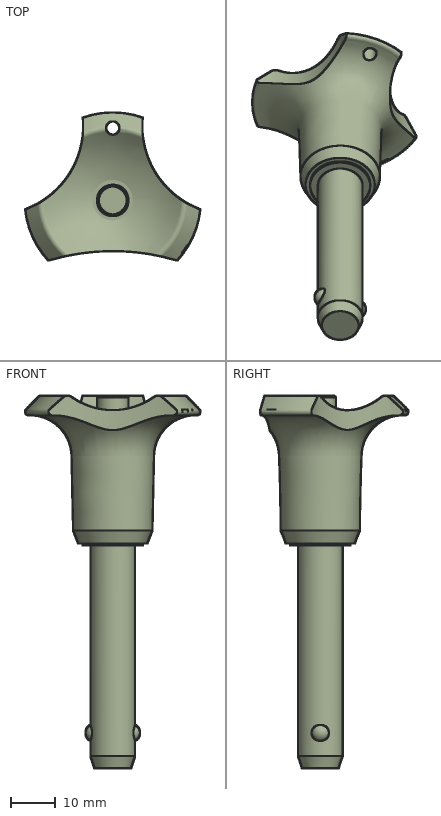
import math

import cadquery as cq

handle_height = 32.9
shank_length = 50.0
shank_radius = 5.0

tip_length = 2.75
tip_radius = 4.1

ball_radius = 2.0
ball_reach = 6.1
ball_height = 7.9

grip_top_radius = 9.2
grip_top_z = 19.4
grip_bottom_radius = 8.85
grip_bottom_z = 2.9
grip_end_radius = 7.7

lip_radius = 6.7
lip_height = 0.45

cone_normal = 45
head_radius = 19.6
edge_round = 0.8
rim_round = 1.0
rim_radius = 15.9
dish_radius = 22.0
floor_radius = 4.5

button_radius = 3.5
button_chamfer = 0.4

side_cut_radius = 19.7
side_cut_x = 26.3
side_cut_y = 16.5
front_cut_radius = 50.0
front_cut_depth_y = -11.3

lanyard_hole_radius = 1.45
lanyard_hole_y = 16.1


def on_circle(center, radius, angle_deg):
    """Point at the given angle on a circle in the (radius, Z) plane."""
    angle = math.radians(angle_deg)
    return (center[0] + radius * math.cos(angle), center[1] + radius * math.sin(angle))


rim_center = (rim_radius, handle_height - rim_round)
dish_center_z = rim_center[1] + math.sqrt((dish_radius + rim_round) ** 2 - rim_radius ** 2)
floor_z = dish_center_z - math.sqrt(dish_radius ** 2 - floor_radius ** 2)


def make_handle():
    edge_center_r = head_radius - edge_round
    cone_offset = (rim_round - edge_round) / math.cos(math.radians(cone_normal))
    edge_center = (edge_center_r, rim_center[1] + rim_radius - edge_center_r + cone_offset)
    edge_lower_mid = on_circle(edge_center, edge_round, -45)
    edge_upper_mid = on_circle(edge_center, edge_round, cone_normal / 2)
    edge_on_cone = on_circle(edge_center, edge_round, cone_normal)
    underside_z = edge_center[1] - edge_round

    flare_radius = underside_z - grip_top_z
    flare_center = (grip_top_radius + flare_radius, grip_top_z)
    flare_mid = on_circle(flare_center, flare_radius, 135)

    dish_to_rim = math.degrees(math.atan2(dish_center_z - rim_center[1], -rim_radius))
    dish_edge = on_circle(rim_center, rim_round, dish_to_rim)
    dish_mid_angle = (dish_to_rim - 180 - math.degrees(math.acos(floor_radius / dish_radius))) / 2
    dish_mid = on_circle((0, dish_center_z), dish_radius, dish_mid_angle)

    profile = (
        cq.Workplane("XZ")
        .moveTo(0, -lip_height)
        .lineTo(lip_radius, -lip_height)
        .lineTo(lip_radius, 0)
        .lineTo(grip_end_radius, 0)
        .lineTo(grip_bottom_radius, grip_bottom_z)
        .lineTo(grip_top_radius, grip_top_z)
        .threePointArc(flare_mid, (flare_center[0], underside_z))
        .lineTo(edge_center_r, underside_z)
        .threePointArc(edge_lower_mid, (head_radius, edge_center[1]))
        .threePointArc(edge_upper_mid, edge_on_cone)
        .lineTo(*on_circle(rim_center, rim_round, cone_normal))
        .threePointArc((rim_radius, handle_height), dish_edge)
        .threePointArc(dish_mid, (floor_radius, floor_z))
        .lineTo(0, floor_z)
        .close()
    )
    return profile.revolve(360, (0, 0, 0), (0, 1, 0))


def make_cutter(x, y, radius):
    """Vertical cylinder tall enough to cut through the whole head."""
    return (
        cq.Workplane("XY", origin=(0, 0, grip_bottom_z))
        .center(x, y)
        .circle(radius)
        .extrude(handle_height)
    )


def make_button():
    return (
        cq.Workplane("XY", origin=(0, 0, floor_z))
        .circle(button_radius)
        .extrude(handle_height - floor_z)
        .faces(">Z")
        .chamfer(button_chamfer)
    )


def make_shank():
    return (
        cq.Workplane("XY")
        .circle(shank_radius)
        .extrude(-shank_length)
        .faces("<Z")
        .chamfer(tip_length, shank_radius - tip_radius)
    )


def make_ball(side):
    center_x = side * (ball_reach - ball_radius)
    return cq.Workplane("XY").sphere(ball_radius).translate((center_x, 0, ball_height - shank_length))


handle = make_handle()
for side in (-1, 1):
    handle = handle.cut(make_cutter(side * side_cut_x, side_cut_y, side_cut_radius))
handle = handle.cut(make_cutter(0, front_cut_depth_y - front_cut_radius, front_cut_radius))
handle = handle.cut(make_cutter(0, lanyard_hole_y, lanyard_hole_radius))

result = handle.union(make_button()).union(make_shank())
for side in (-1, 1):
    result = result.union(make_ball(side))